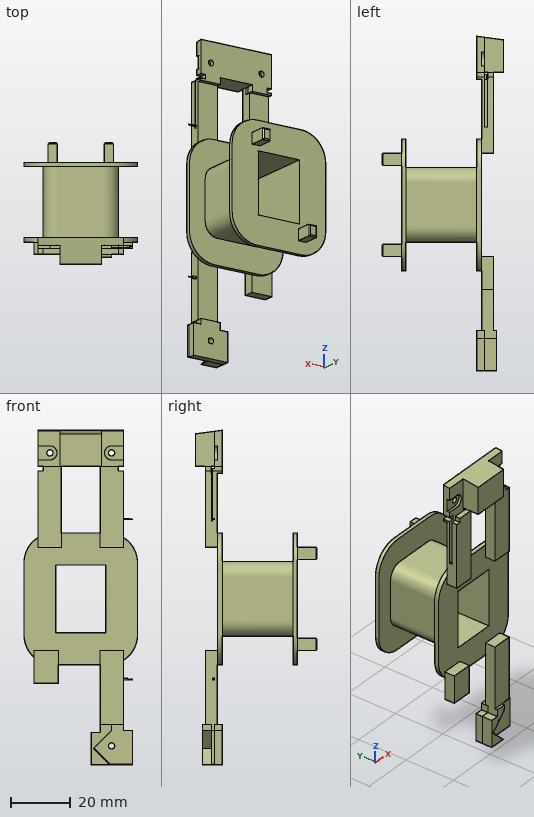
import cadquery as cq


TOTAL_HEIGHT = 111.7

FLANGE_WIDTH = 38.0
FLANGE_HEIGHT = 44.0
FLANGE_RADIUS = 10.0
FRONT_FLANGE_THICKNESS = 1.7
BACK_FLANGE_THICKNESS = 1.5
BOBBIN_LENGTH = 26.7
CORE_WIDTH = 25.2
CORE_HEIGHT = 25.0
CORE_RADIUS = 5.0
WINDOW_WIDTH = 16.6
WINDOW_HEIGHT = 22.6

PIN_WIDTH = 3.1
PIN_HEIGHT = 4.1
PIN_LENGTH = 6.6
PIN_CHAMFER = 0.5
PIN_X = 9.4
PIN_Z = 15.2

PLATE_BACK_Y = FRONT_FLANGE_THICKNESS
PLATE_FRONT_Y = -1.0
SLOT_FRONT_Y = -2.0
ARM_FRONT_Y = -4.0
FOOT_FRONT_Y = -5.0
HEAD_FRONT_Y = -7.4

ARM_INNER_X = 6.5
ARM_OUTER_X = 14.3
ARM_END_Z = 17.2
SHOULDER_Z = 41.9
SLOT_FLOOR_X = 10.3
SLOT_BOTTOM_Z = 26.0
NOTCH_FLOOR_X = 12.5
NOTCH_BOTTOM_Z = 42.7

HEAD_BOTTOM_Z = 44.2
HEAD_TOP_Z = 56.3
HEAD_FRONT_TOP_Z = 55.1
HEAD_BLOCK_HALF_WIDTH = 6.9
SCREW_HOLE_DIAMETER = 2.0
SCREW_X = SLOT_FLOOR_X
HEAD_SCREW_Z = 48.7
SEAT_RADIUS = 2.3

STRIP_FRONT_Y = -1.7
STRIP_TOP_Z = 43.6
WIRE_Y = (PLATE_FRONT_Y + STRIP_FRONT_Y) / 2
WIRE_DIAMETER = 0.2
UPPER_WIRE_Z = 26.6
UPPER_TAB_Z = UPPER_WIRE_Z
UPPER_TAB_HEIGHT = 0.3
UPPER_TAB_END_X = 16.4
LOWER_WIRE_Z = -26.9
LOWER_TAB_Z = -26.8
LOWER_TAB_HEIGHT = 0.7
LOWER_TAB_END_X = 15.6

LUG_LEFT_X = -15.6
LUG_RIGHT_X = -7.5
LUG_BOTTOM_Z = -28.1

FOOT_LEFT_X = 3.5
FOOT_RIGHT_X = 17.3
FOOT_LEFT_TOP_Z = -44.6
FOOT_RIGHT_TOP_Z = -43.9
FOOT_BOTTOM_Z = HEAD_TOP_Z - TOTAL_HEIGHT
FOOT_SCREW_Z = -49.0
CHEVRON_TIP_X = 4.2
CHEVRON_TIP_Z = FOOT_RIGHT_TOP_Z - (SLOT_FLOOR_X - CHEVRON_TIP_X)
CHEVRON_BOTTOM_X = CHEVRON_TIP_X + (CHEVRON_TIP_Z - FOOT_BOTTOM_Z)
PAD_CLEARANCE = 0.3
FOOT_LEFT_SIDE = [
    (FOOT_LEFT_X, FOOT_BOTTOM_Z),
    (FOOT_LEFT_X, FOOT_LEFT_TOP_Z),
    (ARM_INNER_X, FOOT_LEFT_TOP_Z),
    (ARM_INNER_X, -SHOULDER_Z),
]


def box(x_range, y_range, z_range):
    """Box between two limits along each axis."""
    limits = [sorted(pair) for pair in (x_range, y_range, z_range)]
    size = [high - low for low, high in limits]
    corner = [low for low, high in limits]
    return cq.Workplane("XY").box(*size, centered=False).translate(tuple(corner))


def prism_along_y(points, back_y, front_y):
    """Prism with an XZ outline, from back_y forward to front_y."""
    plane = cq.Workplane("XZ", origin=(0, back_y, 0))
    return plane.polyline(points).close().extrude(back_y - front_y)


def rounded_block(width, height, radius, front_y, back_y):
    """Block around the bobbin axis, its four long edges rounded."""
    depth = back_y - front_y
    plane = cq.Workplane("XZ", origin=(0, back_y, 0))
    return plane.rect(width, height).extrude(depth).edges("|Y").fillet(radius)


def rod_along_y(x, z, diameter, back_y, front_y):
    plane = cq.Workplane("XZ", origin=(x, back_y, z))
    return plane.circle(diameter / 2).extrude(back_y - front_y)


def make_spool():
    back_flange_front_y = BOBBIN_LENGTH - BACK_FLANGE_THICKNESS
    flange_size = (FLANGE_WIDTH, FLANGE_HEIGHT, FLANGE_RADIUS)
    front_flange = rounded_block(*flange_size, 0, FRONT_FLANGE_THICKNESS)
    back_flange = rounded_block(*flange_size, back_flange_front_y, BOBBIN_LENGTH)
    core = rounded_block(CORE_WIDTH, CORE_HEIGHT, CORE_RADIUS, 0, BOBBIN_LENGTH)
    window = (
        cq.Workplane("XZ", origin=(0, BOBBIN_LENGTH, 0))
        .rect(WINDOW_WIDTH, WINDOW_HEIGHT)
        .extrude(BOBBIN_LENGTH)
    )
    return core.union(front_flange).union(back_flange).cut(window)


def make_pin(x, z):
    pin = (
        cq.Workplane("XY")
        .box(PIN_WIDTH, PIN_LENGTH, PIN_HEIGHT)
        .faces(">Y")
        .edges()
        .chamfer(PIN_CHAMFER)
    )
    return pin.translate((x, BOBBIN_LENGTH + PIN_LENGTH / 2, z))


def make_upper_arm():
    """Right upper arm with its terminal slot, a stub of the head plate behind it and a side notch."""
    width = (ARM_INNER_X, ARM_OUTER_X)
    arm = box(width, (0, ARM_FRONT_Y), (ARM_END_Z, HEAD_BOTTOM_Z))
    stub = box(width, (PLATE_BACK_Y, PLATE_FRONT_Y), (SHOULDER_Z, HEAD_BOTTOM_Z))
    slot_depth = (PLATE_FRONT_Y, SLOT_FRONT_Y)
    slot = box((SLOT_FLOOR_X, ARM_OUTER_X), slot_depth, (SLOT_BOTTOM_Z, HEAD_BOTTOM_Z))
    open_end = box(width, slot_depth, (SHOULDER_Z, HEAD_BOTTOM_Z))
    return arm.union(stub).cut(slot).cut(open_end).cut(make_notch())


def make_notch():
    return box(
        (NOTCH_FLOOR_X, ARM_OUTER_X),
        (PLATE_BACK_Y, ARM_FRONT_Y),
        (NOTCH_BOTTOM_Z, HEAD_BOTTOM_Z),
    )


def make_terminal_strip():
    """Metal strip that stands in the slot of the right upper arm."""
    strip = box(
        (SLOT_FLOOR_X, ARM_OUTER_X),
        (PLATE_FRONT_Y, STRIP_FRONT_Y),
        (SLOT_BOTTOM_Z, STRIP_TOP_Z),
    )
    return strip.cut(make_notch())


def make_screw_seat():
    """Cutter for the right screw seat of the head: a round-ended recess open to the side, and a hole."""
    pocket = rod_along_y(SCREW_X, HEAD_SCREW_Z, 2 * SEAT_RADIUS, 0, PLATE_FRONT_Y)
    channel = box(
        (SCREW_X, ARM_OUTER_X),
        (0, PLATE_FRONT_Y),
        (HEAD_SCREW_Z - SEAT_RADIUS, HEAD_SCREW_Z + SEAT_RADIUS),
    )
    hole = rod_along_y(SCREW_X, HEAD_SCREW_Z, SCREW_HOLE_DIAMETER, PLATE_BACK_Y, PLATE_FRONT_Y)
    return pocket.union(channel).union(hole)


def make_head():
    """Head plate and its central block, under one sloping top."""
    profile = [
        (PLATE_BACK_Y, HEAD_BOTTOM_Z),
        (PLATE_BACK_Y, HEAD_TOP_Z),
        (HEAD_FRONT_Y, HEAD_FRONT_TOP_Z),
        (HEAD_FRONT_Y, HEAD_BOTTOM_Z),
    ]
    head = cq.Workplane("YZ").polyline(profile).close().extrude(ARM_OUTER_X, both=True)
    corner = box(
        (HEAD_BLOCK_HALF_WIDTH, ARM_OUTER_X),
        (PLATE_FRONT_Y, HEAD_FRONT_Y),
        (HEAD_BOTTOM_Z, HEAD_TOP_Z),
    )
    for cutter in (corner, make_screw_seat()):
        head = head.cut(cutter).cut(cutter.mirror("YZ"))
    return head


def make_wire_end(wire_z, tab_z, tab_height, tab_end_x):
    """Thin wire that leaves an arm on its right side, with a short tab at its root."""
    wire_plane = cq.Workplane("YZ", origin=(SLOT_FLOOR_X, WIRE_Y, wire_z))
    wire = wire_plane.circle(WIRE_DIAMETER / 2).extrude(FOOT_RIGHT_X - SLOT_FLOOR_X)
    tab = box(
        (ARM_OUTER_X, tab_end_x),
        (PLATE_FRONT_Y, STRIP_FRONT_Y),
        (tab_z - tab_height / 2, tab_z + tab_height / 2),
    )
    return wire.union(tab)


def foot_screw_hole():
    return rod_along_y(SCREW_X, FOOT_SCREW_Z, SCREW_HOLE_DIAMETER, PLATE_BACK_Y, FOOT_FRONT_Y)


def make_foot_front():
    """Raised part of the foot, left of the chevron edge."""
    outline = [
        *FOOT_LEFT_SIDE,
        (SLOT_FLOOR_X, -SHOULDER_Z),
        (SLOT_FLOOR_X, FOOT_RIGHT_TOP_Z),
        (CHEVRON_TIP_X, CHEVRON_TIP_Z),
        (CHEVRON_BOTTOM_X, FOOT_BOTTOM_Z),
    ]
    return prism_along_y(outline, PLATE_FRONT_Y, FOOT_FRONT_Y)


def make_foot_pad():
    """Terminal pad right of the chevron edge, with a small gap to its lower slope and the foot's bottom."""
    outline = [
        (SLOT_FLOOR_X, -SHOULDER_Z),
        (ARM_OUTER_X, -SHOULDER_Z),
        (ARM_OUTER_X, FOOT_RIGHT_TOP_Z),
        (FOOT_RIGHT_X, FOOT_RIGHT_TOP_Z),
        (FOOT_RIGHT_X, FOOT_BOTTOM_Z + PAD_CLEARANCE),
        (CHEVRON_BOTTOM_X, FOOT_BOTTOM_Z + PAD_CLEARANCE),
        (CHEVRON_TIP_X + PAD_CLEARANCE / 2, CHEVRON_TIP_Z + PAD_CLEARANCE / 2),
        (SLOT_FLOOR_X, FOOT_RIGHT_TOP_Z),
    ]
    return prism_along_y(outline, PLATE_FRONT_Y, SLOT_FRONT_Y)


def make_bobbin():
    body = make_spool()
    for side in (-1, 1):
        body = body.union(make_pin(side * PIN_X, side * PIN_Z))
    arm_depth = (0, ARM_FRONT_Y)
    upper_arm = make_upper_arm()
    lower_arm = box((ARM_INNER_X, ARM_OUTER_X), arm_depth, (-ARM_END_Z, -SHOULDER_Z))
    lug = box((LUG_LEFT_X, LUG_RIGHT_X), arm_depth, (-ARM_END_Z, LUG_BOTTOM_Z))
    parts = [
        upper_arm,
        upper_arm.mirror("YZ"),
        make_head(),
        make_terminal_strip(),
        make_wire_end(UPPER_WIRE_Z, UPPER_TAB_Z, UPPER_TAB_HEIGHT, UPPER_TAB_END_X),
        lug,
        lower_arm,
        make_wire_end(LOWER_WIRE_Z, LOWER_TAB_Z, LOWER_TAB_HEIGHT, LOWER_TAB_END_X),
        make_foot_front(),
        make_foot_pad(),
    ]
    for part in parts:
        body = body.union(part)
    return body.cut(foot_screw_hole())


def make_foot_plate():
    """Separate plate behind the foot, with the foot's full outline."""
    outline = [
        *FOOT_LEFT_SIDE,
        (ARM_OUTER_X, -SHOULDER_Z),
        (ARM_OUTER_X, FOOT_RIGHT_TOP_Z),
        (FOOT_RIGHT_X, FOOT_RIGHT_TOP_Z),
        (FOOT_RIGHT_X, FOOT_BOTTOM_Z),
    ]
    return prism_along_y(outline, PLATE_BACK_Y, PLATE_FRONT_Y).cut(foot_screw_hole())


bobbin = make_bobbin()
foot_plate = make_foot_plate()
result = cq.Compound.makeCompound([*bobbin.solids().vals(), *foot_plate.solids().vals()])